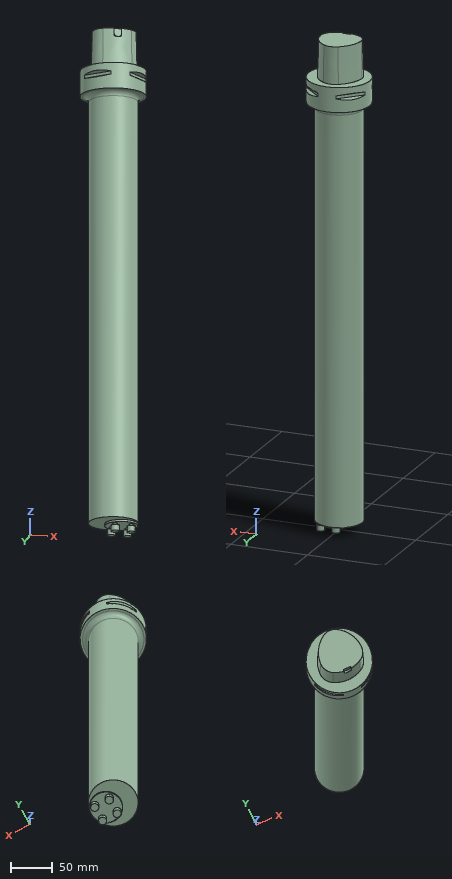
import cadquery as cq
import math

total_length = 627.0
shank_length = 47.5
flange_length = 32.0
pin_length = 10.0
boss_height = 2.5
shank_bottom = total_length - shank_length
flange_bottom = shank_bottom - flange_length
body_bottom = pin_length + boss_height

flange_diameter = 80.0
body_diameter = 60.0
neck_fillet_radius = 7.0

base_lobe_reach = 29.5
base_flank_reach = 26.5
base_flank_radius = 39.0
shank_taper = 1 / 20
shank_inset = shank_length * shank_taper / 2

notch_width = 9.5
notch_length = 10.5
notch_depth = 2.5
notch_corner_radius = 4.0

groove_count = 4
groove_drop = 12.5
groove_depth = 4.7
groove_mouth = 8.0
groove_floor = 4.0

boss_diameter = 40.0
boss_offset = 10.0
pin_spacing = 20.0
pin_head_diameter = 10.0
pin_neck_diameter = 6.0
pin_head_length = 7.5


def polar(radius, angle):
    """Point at the given radius and angle in radians."""
    return (radius * math.cos(angle), radius * math.sin(angle))


def draw_lobed_outline(plane, inset):
    """Close an outline of three lobes, one along +Y, moved inward by the inset."""
    lobe_reach = base_lobe_reach - inset
    flank_reach = base_flank_reach - inset
    flank_radius = base_flank_radius - inset
    flank_shift = flank_radius - flank_reach
    reach_gap = lobe_reach - flank_reach
    lobe_shift = (2 * reach_gap * flank_shift - reach_gap**2) / (flank_shift - 2 * reach_gap)
    half_flank = math.atan2(
        lobe_shift * math.sin(math.pi / 3),
        flank_shift + lobe_shift * math.cos(math.pi / 3),
    )
    joint_x = flank_radius * math.sin(half_flank)
    joint_y = flank_radius * math.cos(half_flank) - flank_shift
    joint_radius = math.hypot(joint_x, joint_y)
    joint_angle = math.atan2(joint_x, joint_y)

    flank_angles = [math.radians(angle) for angle in (-90, 30, 150)]
    outline = plane.moveTo(*polar(joint_radius, flank_angles[0] - joint_angle))
    for angle in flank_angles:
        next_flank = angle + 2 * math.pi / 3
        outline = outline.threePointArc(
            polar(flank_reach, angle),
            polar(joint_radius, angle + joint_angle),
        )
        outline = outline.threePointArc(
            polar(lobe_reach, angle + math.pi / 3),
            polar(joint_radius, next_flank - joint_angle),
        )
    return outline.close()


def shank():
    """Lobed shank that narrows evenly from the flange to its top face."""
    base = cq.Workplane("XY", origin=(0, 0, shank_bottom))
    lower = draw_lobed_outline(base, 0)
    upper = draw_lobed_outline(lower.workplane(offset=shank_length), shank_inset)
    return upper.loft(ruled=True)


def key_notch():
    """Notch with rounded lower corners, open at the top face."""
    notch_floor = notch_depth - (base_flank_reach - shank_inset)
    return (
        cq.Workplane("XZ", origin=(0, notch_floor, total_length))
        .rect(notch_width, 2 * notch_length)
        .extrude(base_flank_reach)
        .edges("|Y")
        .fillet(notch_corner_radius)
    )


def flange_body():
    """Revolved bar and flange with a concave fillet in the corner between them."""
    bar_radius = body_diameter / 2
    flange_radius = flange_diameter / 2
    bend = neck_fillet_radius * (1 - math.sqrt(0.5))
    return (
        cq.Workplane("XZ")
        .moveTo(0, body_bottom)
        .lineTo(bar_radius, body_bottom)
        .lineTo(bar_radius, flange_bottom - neck_fillet_radius)
        .threePointArc(
            (bar_radius + bend, flange_bottom - bend),
            (bar_radius + neck_fillet_radius, flange_bottom),
        )
        .lineTo(flange_radius, flange_bottom)
        .lineTo(flange_radius, shank_bottom)
        .lineTo(0, shank_bottom)
        .close()
        .revolve(360, (0, 0, 0), (0, 1, 0))
    )


def gripper_groove(angle):
    """Straight trapezoidal groove cut across the flange rim at the given angle."""
    rim = flange_diameter / 2
    slope = (groove_mouth - groove_floor) / 2
    outer = rim + groove_depth
    outer_half = groove_mouth / 2 + slope
    floor_half = groove_floor / 2
    return (
        cq.Workplane("XZ", origin=(0, 0, shank_bottom - groove_drop))
        .polyline([
            (rim - groove_depth, -floor_half),
            (outer, -outer_half),
            (outer, outer_half),
            (rim - groove_depth, floor_half),
        ])
        .close()
        .extrude(rim, both=True)
        .rotate((0, 0, 0), (0, 0, 1), angle)
    )


def pin_square(diameter, length):
    """Four upright cylinders in a square around the boss centre."""
    return (
        cq.Workplane("XY", origin=(boss_offset, 0, 0))
        .rarray(pin_spacing, pin_spacing, 2, 2)
        .circle(diameter / 2)
        .extrude(length)
    )


def coupling():
    """Offset round boss carrying four headed pins in a square."""
    boss = cq.Workplane("XY", origin=(boss_offset, 0, pin_length)).circle(boss_diameter / 2)
    boss = boss.extrude(boss_height)
    necks = pin_square(pin_neck_diameter, pin_length)
    heads = pin_square(pin_head_diameter, pin_head_length)
    return boss.union(necks).union(heads)


result = flange_body().union(shank()).union(coupling()).cut(key_notch())
for index in range(groove_count):
    result = result.cut(gripper_groove((index + 0.5) * 360 / groove_count))